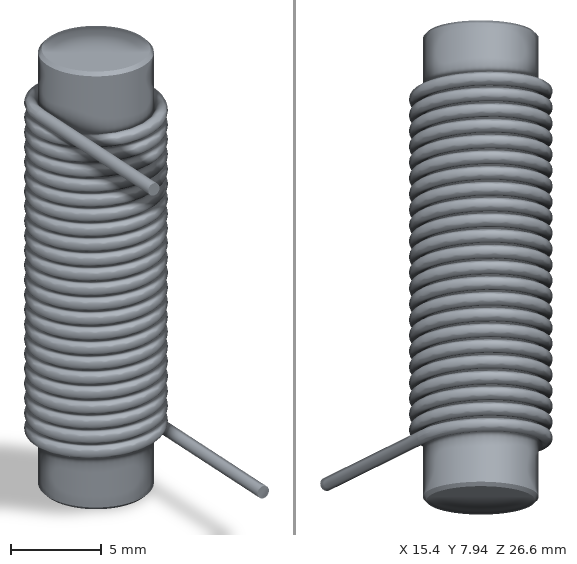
import cadquery as cq

CORE_LENGTH = 26.65
CORE_RADIUS = 3.2
CORE_CHAMFER = 0.2

WIRE_RADIUS = 0.37
COIL_OUTER_RADIUS = 3.97
COIL_RADIUS = COIL_OUTER_RADIUS - WIRE_RADIUS

END_MARGIN = 3.2
TURNS = 22.5
COIL_HEIGHT = CORE_LENGTH - 2 * END_MARGIN
PITCH = COIL_HEIGHT / TURNS

LEAD_END = 11.43
INNER_LEAD_LENGTH = 5.0
LEAD_TIP_LENGTH = LEAD_END - INNER_LEAD_LENGTH

LOWER_LEAD_START = (0, COIL_RADIUS, END_MARGIN)
UPPER_LEAD_START = (0, -COIL_RADIUS, CORE_LENGTH - END_MARGIN)


def make_core():
    """Cylindrical rod with both end edges chamfered."""
    rod = cq.Workplane("XY").circle(CORE_RADIUS).extrude(CORE_LENGTH)
    return rod.faces("<Z or >Z").chamfer(CORE_CHAMFER)


def make_coil():
    """Round wire wound around the core with a small clearance."""
    path = cq.Wire.makeHelix(PITCH, COIL_HEIGHT, COIL_RADIUS)
    profile = cq.Workplane("XZ").center(COIL_RADIUS, 0).circle(WIRE_RADIUS)
    winding = profile.sweep(cq.Workplane(path), isFrenet=True)
    return winding.rotate((0, 0, 0), (0, 0, 1), 90).translate((0, 0, END_MARGIN))


def make_lead_section(lead_start, offset, length):
    """Straight piece of wire along +X, beginning at offset from the lead's start."""
    section = cq.Workplane("YZ").circle(WIRE_RADIUS).extrude(length)
    return section.translate(lead_start).translate((offset, 0, 0))


core = make_core()
coil = make_coil()

inner_leads = []
lead_tips = []
for start in (LOWER_LEAD_START, UPPER_LEAD_START):
    inner_leads.append(make_lead_section(start, 0, INNER_LEAD_LENGTH).val())
    lead_tips.append(make_lead_section(start, INNER_LEAD_LENGTH, LEAD_TIP_LENGTH).val())

result = cq.Compound.makeCompound([core.val(), coil.val(), *inner_leads, *lead_tips])